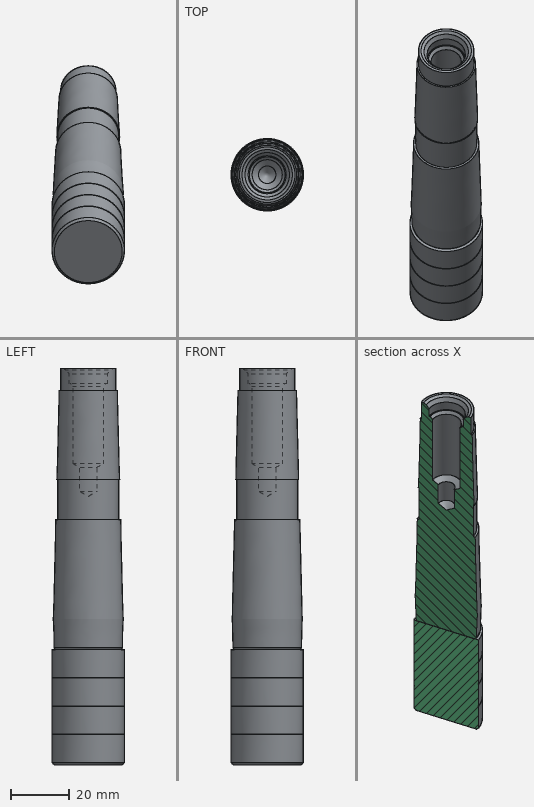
import cadquery as cq
import math

total_height = 136.0
barrel_top = 39.6

barrel_diameter = 24.9
band_count = 4
foot_chamfer = 0.8
groove_width = 0.1
groove_depth = 0.07
band_height = (barrel_top - foot_chamfer) / band_count

collar_diameter = 23.5
collar_base_diameter = 22.7
collar_base_height = 0.7
lower_taper_bottom = 50.0
lower_taper_large_diameter = 24.1
lower_taper_small_diameter = 22.5
waist_top = 97.9
waist_bottom = 84.2
waist_diameter = 21.0
upper_taper_large_diameter = 21.6
upper_taper_small_diameter = 20.1
neck_bottom = 128.5
neck_diameter = 19.0

mouth_diameter = 17.3
lead_in_diameter = 15.2
lead_in_depth = 0.5
counterbore_diameter = 13.0
counterbore_cone_depth = 1.9
counterbore_depth = 5.2
bore_chamfer_diameter = 12.2
bore_diameter = 10.3
bore_depth = 32.6
pilot_diameter = 6.0
pilot_length = 8.2
drill_point_angle = 118.0


def revolve_profile(points):
    """Revolve a closed (radius, height) outline about the Z axis."""
    return cq.Workplane("XZ").polyline(points).close().revolve(360, (0, 0), (0, 1))


def drill_cone_height(large_diameter, small_diameter=0.0):
    """Height of a drill point cone between two diameters."""
    return (large_diameter - small_diameter) / 2 / math.tan(math.radians(drill_point_angle / 2))


def make_barrel():
    """Cylinder with a chamfered foot and a fine groove between neighbouring bands."""
    radius = barrel_diameter / 2
    body = revolve_profile(
        [(0, 0), (radius - foot_chamfer, 0), (radius, foot_chamfer), (radius, barrel_top), (0, barrel_top)]
    )
    for band in range(1, band_count):
        groove_bottom = foot_chamfer + band * band_height - groove_width / 2
        groove = (
            cq.Workplane("XY", origin=(0, 0, groove_bottom))
            .circle(radius + groove_depth)
            .circle(radius - groove_depth)
            .extrude(groove_width)
        )
        body = body.cut(groove)
    return body


def make_shank_blank():
    """Solid shank with a collar, two tapers, a waist between them and a neck."""
    outline = [
        (collar_base_diameter, barrel_top),
        (collar_diameter, barrel_top + collar_base_height),
        (lower_taper_large_diameter, lower_taper_bottom),
        (lower_taper_small_diameter, waist_bottom),
        (waist_diameter, waist_bottom),
        (waist_diameter, waist_top),
        (upper_taper_large_diameter, waist_top),
        (upper_taper_small_diameter, neck_bottom),
        (neck_diameter, neck_bottom),
        (neck_diameter, total_height),
    ]
    side = [(diameter / 2, height) for diameter, height in outline]
    return revolve_profile([(0, barrel_top), *side, (0, total_height)])


def make_bore():
    """Cutter for the stepped bore, ending in a drilled pilot hole."""
    bore_chamfer_depth = counterbore_depth + (bore_chamfer_diameter - bore_diameter) / 2
    pilot_top = bore_depth + drill_cone_height(bore_diameter, pilot_diameter)
    pilot_bottom = pilot_top + pilot_length
    tip_depth = pilot_bottom + drill_cone_height(pilot_diameter)
    outline = [
        (mouth_diameter, 0),
        (lead_in_diameter, lead_in_depth),
        (counterbore_diameter, counterbore_cone_depth),
        (counterbore_diameter, counterbore_depth),
        (bore_chamfer_diameter, counterbore_depth),
        (bore_diameter, bore_chamfer_depth),
        (bore_diameter, bore_depth),
        (pilot_diameter, pilot_top),
        (pilot_diameter, pilot_bottom),
        (0, tip_depth),
    ]
    side = [(diameter / 2, total_height - depth) for diameter, depth in outline]
    return revolve_profile([(0, total_height), *side])


barrel = make_barrel()
shank = make_shank_blank().cut(make_bore())

result = cq.Compound.makeCompound([barrel.val(), shank.val()])